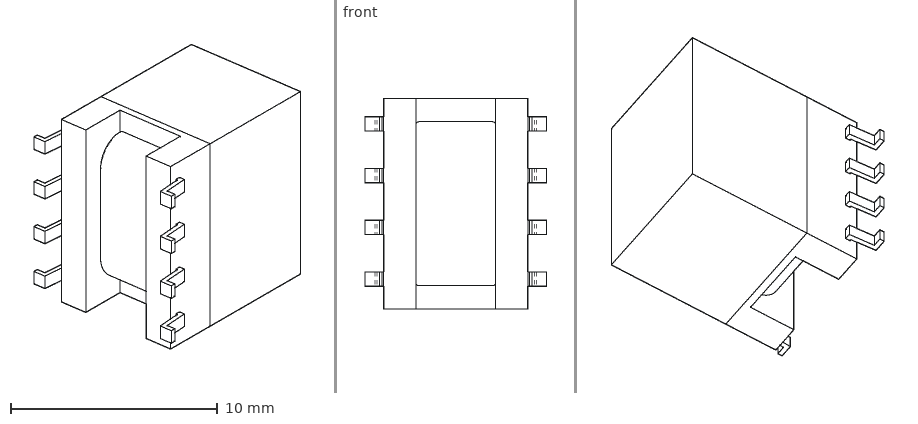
import cadquery as cq


length_y = 10.61
height_z = 10.2
body_width = 6.99
lead_span = 8.8

joint_y = 3.92
slot_floor_y = 3.52
winding_front_y = 1.98
leg_end_y = 0.99

slot_width = 3.86

winding_height = 7.94
winding_corner_radius = 1.5
winding_edge_radius = 0.15

leads_per_side = 4
lead_pitch = 2.5
lead_width = 0.7
lead_thickness = 0.25
lead_row_center_z = 0.11
lead_top_y = 1.64
shoulder_outer_x = 3.81
shoulder_inner_x = 3.58
foot_corner_x = 3.92
heel_x = 3.69


def make_core():
    """Plain block that covers the back of the base."""
    return (
        cq.Workplane("XY")
        .box(body_width, length_y - joint_y, height_z, centered=(True, False, True))
        .translate((0, joint_y, 0))
    )


def make_frame():
    """U-shaped frame: a thin back wall with two legs, constant along Z."""
    block = (
        cq.Workplane("XY")
        .box(body_width, joint_y - leg_end_y, height_z, centered=(True, False, True))
        .translate((0, leg_end_y, 0))
    )
    slot = (
        cq.Workplane("XY")
        .box(slot_width, slot_floor_y - leg_end_y, height_z, centered=(True, False, True))
        .translate((0, leg_end_y, 0))
    )
    return block.cut(slot)


def make_winding():
    """Winding on the slot floor from leg to leg, with round corners and rounded end edges."""
    return (
        cq.Workplane("XY")
        .box(slot_width, slot_floor_y - winding_front_y, winding_height, centered=(True, False, True))
        .translate((0, winding_front_y, 0))
        .edges("|X and <Y")
        .fillet(winding_corner_radius)
        .faces("<X or >X")
        .edges("not >Y")
        .fillet(winding_edge_radius)
    )


def make_lead(center_z):
    """Gull-wing lead on the +X side: shoulder, sloping shank and foot."""
    wall_x = body_width / 2
    foot_end_x = lead_span / 2
    shoulder_bottom_y = lead_top_y - lead_thickness
    outline = [
        (wall_x, lead_top_y),
        (shoulder_outer_x, lead_top_y),
        (foot_corner_x, lead_thickness),
        (foot_end_x, lead_thickness),
        (foot_end_x, 0),
        (heel_x, 0),
        (shoulder_inner_x, shoulder_bottom_y),
        (wall_x, shoulder_bottom_y),
    ]
    return (
        cq.Workplane("XY")
        .polyline(outline)
        .close()
        .extrude(lead_width / 2, both=True)
        .translate((0, 0, center_z))
    )


def make_base():
    """Frame, winding and both rows of leads as one solid."""
    base = make_frame().union(make_winding())
    for index in range(leads_per_side):
        center_z = lead_row_center_z + (index - (leads_per_side - 1) / 2) * lead_pitch
        lead = make_lead(center_z)
        base = base.union(lead).union(lead.mirror("YZ"))
    return base


core = make_core()
base = make_base()

result = cq.Compound.makeCompound([core.val(), *base.solids().vals()])